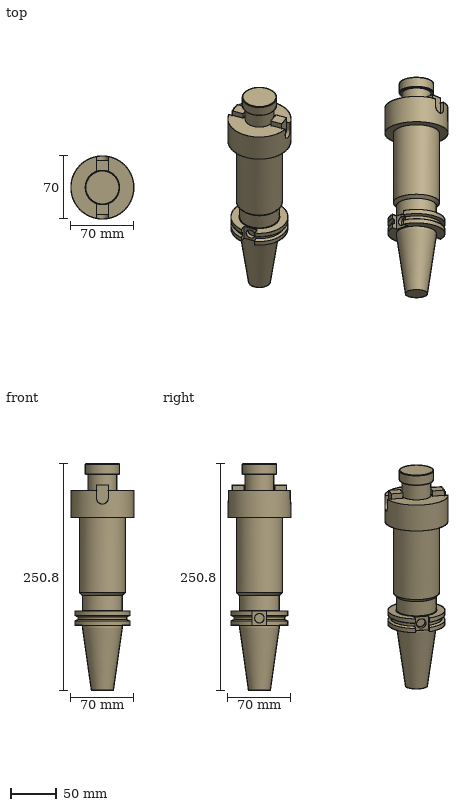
import cadquery as cq

total_height = 250.8
taper_top = 68.7
flange_bottom = 71.7
flange_top = 87.8
body_cone_bottom = 104.8
collar_bottom = 191.0
collar_top = 221.2
spigot_top = 238.8

taper_end_radius = 12.3
neck_radius = 22.0
flange_radius = 31.5
groove_radius = 28.3
body_radius = 25.5
collar_radius = 34.99
spigot_radius = 16.0
head_radius = 19.0

neck_foot_chamfer = 0.5
head_chamfer = 0.8
groove_mouth_width = 6.3
groove_floor_width = 3.3

flange_slot_width = 16.0
flange_slot_floor = 23.8
flange_hole_diameter = 10.5
flange_hole_depth = 5.0

key_width = 13.0
key_inner = 16.8
key_outer = 30.0
key_bottom = 206.2
key_top = 227.2

flange_middle = (flange_bottom + flange_top) / 2
sides = (-1, 1)


def turned_holder():
    """Revolved profile: taper, grooved flange, neck, body, collar and spigot."""
    body_cone_height = body_radius - neck_radius
    profile = [
        (0, 0),
        (taper_end_radius, 0),
        (neck_radius, taper_top),
        (neck_radius, flange_bottom),
        (flange_radius, flange_bottom),
        (flange_radius, flange_middle - groove_mouth_width / 2),
        (groove_radius, flange_middle - groove_floor_width / 2),
        (groove_radius, flange_middle + groove_floor_width / 2),
        (flange_radius, flange_middle + groove_mouth_width / 2),
        (flange_radius, flange_top),
        (neck_radius + neck_foot_chamfer, flange_top),
        (neck_radius, flange_top + neck_foot_chamfer),
        (neck_radius, body_cone_bottom),
        (body_radius, body_cone_bottom + body_cone_height),
        (body_radius, collar_bottom),
        (collar_radius, collar_bottom),
        (collar_radius, collar_top),
        (spigot_radius, collar_top),
        (spigot_radius, spigot_top),
        (0, spigot_top),
    ]
    return cq.Workplane("XZ").polyline(profile).close().revolve(360, (0, 0), (0, 1))


def flange_slot(side):
    """Square slot through the flange rim, with a blind hole in its floor."""
    slot_depth = flange_radius - flange_slot_floor
    floor_plane = cq.Plane((side * flange_slot_floor, 0, flange_middle), (0, 1, 0), (side, 0, 0))
    slot = cq.Workplane(floor_plane).rect(flange_slot_width, flange_top - flange_bottom).extrude(slot_depth)
    hole = cq.Workplane(floor_plane).circle(flange_hole_diameter / 2).extrude(-flange_hole_depth)
    return slot.union(hole)


def key_shape(side, outer, top):
    """Upright block with a half-round foot, from the key's inner face to the outer distance."""
    half_width = key_width / 2
    arc_center = key_bottom + half_width
    block = (
        cq.Workplane("XZ", origin=(0, -key_inner, 0))
        .moveTo(-half_width, top)
        .lineTo(-half_width, arc_center)
        .threePointArc((0, key_bottom), (half_width, arc_center))
        .lineTo(half_width, top)
        .close()
        .extrude(outer - key_inner)
    )
    return block if side < 0 else block.mirror("XZ")


def make_holder():
    holder = turned_holder()
    for side in sides:
        holder = holder.cut(flange_slot(side))
        holder = holder.cut(key_shape(side, collar_radius, collar_top))
    return holder


def make_key(side):
    return key_shape(side, key_outer, key_top)


def make_screw_head():
    """Disc seated on the spigot, chamfered on both rims."""
    return (
        cq.Workplane("XY", origin=(0, 0, spigot_top))
        .circle(head_radius)
        .extrude(total_height - spigot_top)
        .edges()
        .chamfer(head_chamfer)
    )


holder = make_holder()
keys = [make_key(side) for side in sides]
screw_head = make_screw_head()

result = cq.Compound.makeCompound([holder.val(), *[key.val() for key in keys], screw_head.val()])